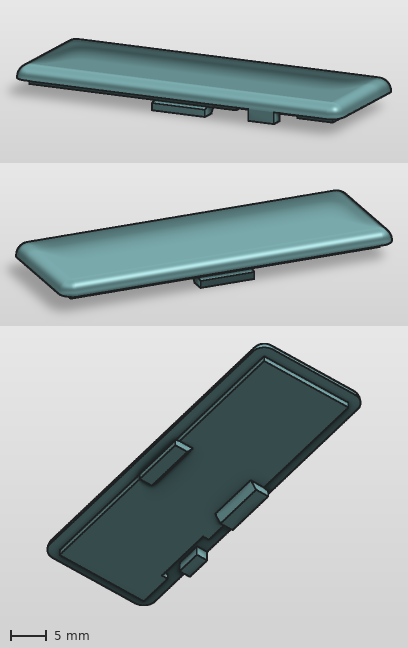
import cadquery as cq

plate_length = 51.0
plate_width = 18.5
plate_thickness = 2.0
edge_radius = plate_thickness

base_length = 47.45
base_width = 14.9
base_thickness = 0.95

clip_length = 8.25
clip_bottom = -2.3
clip_tip_y = 8.2
barb_top = -1.2
clip_foot_y = 6.05
clip_root_y = 5.1

tab_center_x = 13.4
tab_length = 4.05
tab_height = 1.75
notch_length = 9.55
notch_depth = 1.0

base_side_y = base_width / 2
plate_side_y = plate_width / 2


def make_plate():
    """Plate with ball-rounded corners, cut from a deeper block with rounded edges."""
    block_depth = 2 * edge_radius
    block = (
        cq.Workplane("XY")
        .workplane(offset=-block_depth)
        .rect(plate_length, plate_width)
        .extrude(block_depth + plate_thickness)
        .edges("|Z or >Z")
        .fillet(edge_radius)
    )
    upper_half = cq.Workplane("XY").rect(plate_length, plate_width).extrude(plate_thickness)
    return block.intersect(upper_half)


def make_base():
    """Slab with a notch in its -Y side around the tab."""
    slab = cq.Workplane("XY").rect(base_length, base_width).extrude(-base_thickness)
    notch = (
        cq.Workplane("XY")
        .center(tab_center_x, -base_side_y)
        .rect(notch_length, 2 * notch_depth)
        .extrude(-base_thickness)
    )
    return slab.cut(notch)


def make_clip():
    """Clip on the +Y side: sloped inner face and a barb reaching past the base."""
    profile = [
        (clip_root_y, -base_thickness),
        (base_side_y, -base_thickness),
        (clip_tip_y, barb_top),
        (clip_tip_y, clip_bottom),
        (clip_foot_y, clip_bottom),
    ]
    return cq.Workplane("YZ").polyline(profile).close().extrude(clip_length / 2, both=True)


def make_tab():
    """Block from the plate's -Y edge inward to the side line of the base."""
    tab_depth = plate_side_y - base_side_y
    return (
        cq.Workplane("XY")
        .center(tab_center_x, -(plate_side_y + base_side_y) / 2)
        .rect(tab_length, tab_depth)
        .extrude(-tab_height)
    )


clip = make_clip()
result = make_plate().union(make_base()).union(make_tab())
result = result.union(clip).union(clip.mirror("XZ"))